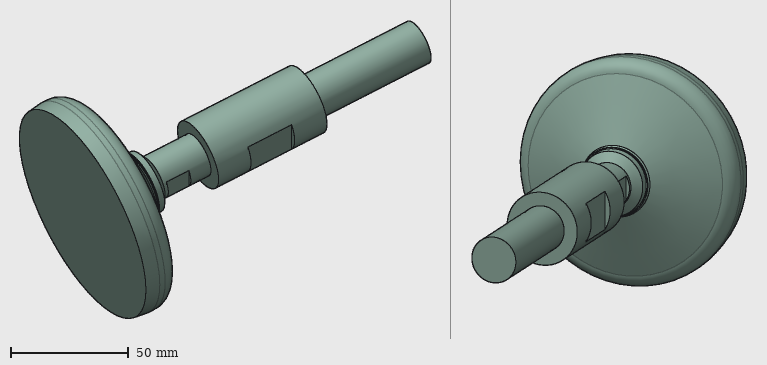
import cadquery as cq

length = 170.0
sole_y = -length / 2

foot_diameter = 100.0
sole_diameter = 98.3
rim_low = 6.5
rim_high = 9.2
shoulder_height = 16.0
shoulder_diameter = 88.4
neck_height = 27.4
neck_diameter = 31.3
groove_height = 28.5
groove_diameter = 28.9
lip_diameter = 30.3
lip_height = 29.0

spindle_diameter = 20.0
head_diameter = 29.2
head_shoulder_diameter = 28.5
head_shoulder_height = 32.3
head_top = 35.2
spindle_flat_width = 17.0
spindle_flat_low = 36.9
spindle_flat_length = 11.4

sleeve_diameter = 32.0
sleeve_low = 58.5
sleeve_length = 54.9
sleeve_flat_width = 27.2
sleeve_flat_length = 22.1
sleeve_flat_low = sleeve_low + (sleeve_length - sleeve_flat_length) / 2


def cylinder(diameter, low, height):
    """Cylinder on the Y axis, starting at a height above the sole."""
    base = cq.Plane(origin=(0, sole_y + low, 0), xDir=(1, 0, 0), normal=(0, 1, 0))
    return cq.Workplane(base).circle(diameter / 2).extrude(height)


def cut_flats(body, diameter, width, low, height):
    """Cut a pair of wrench flats, facing -X and +X, at a width across flats."""
    depth = (diameter - width) / 2
    for side in (-1, 1):
        cutter = cq.Workplane("XY").box(depth, height, diameter)
        body = body.cut(cutter.translate((side * (width + depth) / 2, sole_y + low + height / 2, 0)))
    return body


def turned(outline):
    """Revolve an outline, drawn as radius and height above the sole, about the Y axis."""
    return outline.close().revolve(360, (0, 0, 0), (0, 1, 0)).translate((0, sole_y, 0))


def make_plate():
    rim_radius = foot_diameter / 2
    return turned(
        cq.Workplane("XY")
        .lineTo(sole_diameter / 2, 0)
        .lineTo(rim_radius, rim_low)
        .lineTo(rim_radius, rim_high)
        .tangentArcPoint((shoulder_diameter / 2, shoulder_height), relative=False)
        .lineTo(neck_diameter / 2, neck_height)
        .lineTo(groove_diameter / 2, groove_height)
        .lineTo(lip_diameter / 2, groove_height)
        .lineTo(lip_diameter / 2, lip_height)
        .lineTo(0, lip_height)
    )


def make_head():
    return turned(
        cq.Workplane("XY")
        .moveTo(0, lip_height)
        .lineTo(head_diameter / 2, lip_height)
        .lineTo(head_shoulder_diameter / 2, head_shoulder_height)
        .lineTo(spindle_diameter / 2, head_top)
        .lineTo(0, head_top)
    )


def make_foot():
    spindle = cylinder(spindle_diameter, lip_height, length - lip_height)
    spindle = cut_flats(spindle, spindle_diameter, spindle_flat_width, spindle_flat_low, spindle_flat_length)
    return make_plate().union(make_head()).union(spindle)


def make_sleeve():
    sleeve = cylinder(sleeve_diameter, sleeve_low, sleeve_length)
    sleeve = cut_flats(sleeve, sleeve_diameter, sleeve_flat_width, sleeve_flat_low, sleeve_flat_length)
    return sleeve.cut(cylinder(spindle_diameter, sleeve_low, sleeve_length))


foot = make_foot()
sleeve = make_sleeve()

result = cq.Compound.makeCompound([foot.val(), sleeve.val()])